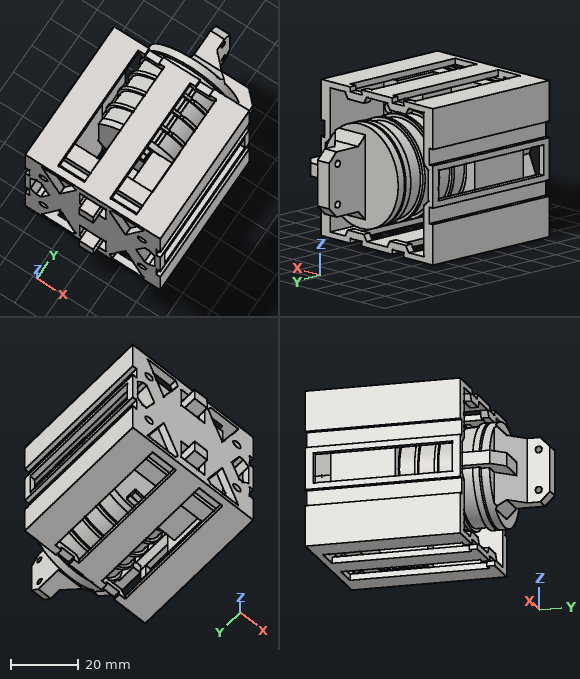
import cadquery as cq
import math

HOUSING_SIZE = 48.0
HALF = HOUSING_SIZE / 2
WALL = 1.9
INNER_HALF = HALF - WALL
CAVITY_HALF_X = 20.0
CHANNEL_HALF_INNER = 6.5
CHANNEL_HALF_OUTER = 4.7
FRONT_SKIN = 2.5
FRONT_DEPTH = 6.5
BACK_SKIN = 2.4
RECESS_HALF_X = 15.2

NOTCH_DEPTH = 1.5
NOTCH_WIDTH = 5.0
NOTCH_CENTRE = 9.0
RIDGE_HEIGHT = 2.0
RIDGE_HALF_TIP = 3.4
RIDGE_HALF_ROOT = 4.65

SLOT_WIDTH = 9.3
SLOT_CENTRE_X = 9.25
SLOT_END = HOUSING_SIZE - BACK_SKIN

SCREW_DIAMETER = 3.0
SCREW_X = 17.5
SCREW_Z = 12.5

TRIANGLE_TIP = (11.66, 7.5)
TRIANGLE_OUTER_X = 18.1
TRIANGLE_INNER_X = 7.0
TRIANGLE_CHAMFER = (1.0, 2.0)
SIDE_WINDOW_SHOULDER_X = 18.45
SIDE_WINDOW_TIP_X = 15.4

PLATE_HALF_X = 15.0
PLATE_HALF_Z = 21.6
PLATE_FRONT = 3.5
PLATE_THICKNESS = 2.0
PRONG_X = 5.0
PRONG_Z = 5.2
PRONG_CENTRE_Z = 15.0
PRONG_REACH = 3.5
PRONG_WINDOW = (9.3, 9.0)

CARRIER_HALF_X = 19.5
CARRIER_HALF_Z = PLATE_HALF_Z
CARRIER_FRONT = FRONT_DEPTH
CARRIER_BACK = 26.5
CARRIER_BAR = 5.1
CARRIER_INNER_LEFT = -14.0
CARRIER_INNER_RIGHT = 13.6
BLOCK_LEFT = 6.0
BLOCK_TOP = 18.2
BLOCK_FRONT = PLATE_FRONT + PLATE_THICKNESS
BLOCK_BACK = 23.4

BARREL_RADIUS = 15.0
RING_RADIUS = 16.0
RING_WIDTH = 1.0
RING_FRONTS = (31.5, 37.6, 43.5)
FOOT_FRONT = 24.4
RIM_FRONT = 49.4
RIM_BACK = 51.4
KEYWAY_WIDTH = 1.1
KEYWAY_DEPTH = 0.5
BARREL_KEYWAY_X = 4.95
RING_KEYWAY_X = 6.6
HOOK_HALF_X = 4.5
HOOK_INNER_RADIUS = 13.0
HOOK_STEM_RADIUS = 14.0
HOOK_NOSE_RADIUS = 14.6
HOOK_NOSE_LENGTH = 1.9
HOOK_LENGTH = 3.8

DISC_RADIUS = RING_RADIUS
DISC_FRONT = 52.0
DISC_BACK = 54.6
GRIP_LEFT = -2.0
GRIP_RIGHT = 3.0
GRIP_END = 69.5
GRIP_HALF_Z = 10.0
GRIP_CHAMFER = 3.0
GUSSET_START = 62.5
GRIP_HOLE_DIAMETER = 2.0
GRIP_HOLE_INSET = 3.5
GRIP_HOLE_Z = 6.25
ARM_WIDTH_Z = 4.1
ARM_OUTER_X = 20.0
ARM_THICKNESS = 2.9
ARM_BACK = 60.0
ARM_CHAMFER = 4.0
ARM_TIP = SLOT_END


def box(x0, x1, y0, y1, z0, z1):
    return cq.Workplane("XY").box(x1 - x0, y1 - y0, z1 - z0, centered=False).translate((x0, y0, z0))


def prism_y(points, y0, y1):
    """Extrude an X-Z outline from y0 to y1."""
    return cq.Workplane("XZ", origin=(0, y0, 0)).polyline(points).close().extrude(y0 - y1)


def cylinder_y(radius, y0, y1):
    return cq.Workplane("XZ", origin=(0, y0, 0)).circle(radius).extrude(y0 - y1)


def four_fold(points):
    """The outline in all four X-Z quadrants."""
    return [[(sx * x, sz * z) for x, z in points] for sx in (-1, 1) for sz in (-1, 1)]


def screw_holes(y1):
    holes = cq.Workplane("XZ").rect(2 * SCREW_X, 2 * SCREW_Z, forConstruction=True).vertices()
    return holes.circle(SCREW_DIAMETER / 2).extrude(-y1)


def make_cavity():
    cavity = box(-CAVITY_HALF_X, CAVITY_HALF_X, FRONT_DEPTH, HOUSING_SIZE, -INNER_HALF, INNER_HALF)
    recess = box(-RECESS_HALF_X, RECESS_HALF_X, FRONT_SKIN, FRONT_DEPTH, -INNER_HALF, INNER_HALF)
    cavity = cavity.union(recess)
    channel = [
        (CAVITY_HALF_X, CHANNEL_HALF_INNER),
        (INNER_HALF, CHANNEL_HALF_OUTER),
        (INNER_HALF, -CHANNEL_HALF_OUTER),
        (CAVITY_HALF_X, -CHANNEL_HALF_INNER),
    ]
    for side in (-1, 1):
        window = channel + [
            (SIDE_WINDOW_SHOULDER_X, -CHANNEL_HALF_INNER),
            (SIDE_WINDOW_TIP_X, 0),
            (SIDE_WINDOW_SHOULDER_X, CHANNEL_HALF_INNER),
        ]
        cavity = cavity.union(prism_y([(side * x, z) for x, z in window], 0, FRONT_DEPTH))
        cavity = cavity.union(prism_y([(side * x, z) for x, z in channel], FRONT_DEPTH, HOUSING_SIZE))
    return cavity


def make_front_openings():
    run, rise = TRIANGLE_CHAMFER
    triangle = [
        TRIANGLE_TIP,
        (TRIANGLE_OUTER_X, INNER_HALF),
        (TRIANGLE_INNER_X, INNER_HALF),
        (TRIANGLE_INNER_X - run, INNER_HALF - rise),
    ]
    openings = screw_holes(FRONT_DEPTH)
    for outline in four_fold(triangle):
        openings = openings.union(prism_y(outline, 0, FRONT_DEPTH))
    half_x = PRONG_WINDOW[0] / 2
    half_z = PRONG_WINDOW[1] / 2
    for z in (-PRONG_CENTRE_Z, PRONG_CENTRE_Z):
        openings = openings.union(box(-half_x, half_x, 0, FRONT_SKIN, z - half_z, z + half_z))
    return openings


def make_slots():
    half = SLOT_WIDTH / 2
    slots = box(-HALF, -CAVITY_HALF_X, FRONT_SKIN, SLOT_END, -half, half)
    slots = slots.union(box(CAVITY_HALF_X, HALF, FRONT_SKIN, SLOT_END, -half, half))
    for x in (-SLOT_CENTRE_X, SLOT_CENTRE_X):
        slots = slots.union(box(x - half, x + half, FRONT_SKIN, SLOT_END, -HALF, HALF))
    return slots


def make_housing():
    housing = box(-HALF, HALF, 0, HOUSING_SIZE, -HALF, HALF).cut(make_cavity())
    ridge = [
        (NOTCH_CENTRE - RIDGE_HALF_ROOT, INNER_HALF),
        (NOTCH_CENTRE - RIDGE_HALF_TIP, INNER_HALF - RIDGE_HEIGHT),
        (NOTCH_CENTRE + RIDGE_HALF_TIP, INNER_HALF - RIDGE_HEIGHT),
        (NOTCH_CENTRE + RIDGE_HALF_ROOT, INNER_HALF),
    ]
    for outline in four_fold(ridge):
        housing = housing.union(prism_y(outline, SLOT_END, HOUSING_SIZE))

    low = NOTCH_CENTRE - NOTCH_WIDTH / 2
    high = NOTCH_CENTRE + NOTCH_WIDTH / 2
    floor = HALF - NOTCH_DEPTH
    side_notch = [(floor, low), (HALF, low), (HALF, high), (floor, high)]
    back_notch = [(z, x) for x, z in side_notch]
    for outline in four_fold(side_notch):
        housing = housing.cut(prism_y(outline, 0, HOUSING_SIZE))
    for outline in four_fold(back_notch):
        housing = housing.cut(prism_y(outline, SLOT_END, HOUSING_SIZE))
    return housing.cut(make_front_openings()).cut(make_slots())


def make_plunger():
    back = PLATE_FRONT + PLATE_THICKNESS
    plunger = box(-PLATE_HALF_X, PLATE_HALF_X, PLATE_FRONT, back, -PLATE_HALF_Z, PLATE_HALF_Z)
    for z in (-PRONG_CENTRE_Z, PRONG_CENTRE_Z):
        prong = box(
            -PRONG_X / 2, PRONG_X / 2, -PRONG_REACH, PLATE_FRONT, z - PRONG_Z / 2, z + PRONG_Z / 2
        )
        plunger = plunger.union(prong)
    return plunger


def make_carrier():
    carrier = box(
        -CARRIER_HALF_X, CARRIER_HALF_X, CARRIER_FRONT, CARRIER_BACK, -CARRIER_HALF_Z, CARRIER_HALF_Z
    )
    bay_front = CARRIER_FRONT + CARRIER_BAR
    bay = box(
        CARRIER_INNER_LEFT, CARRIER_INNER_RIGHT, bay_front, CARRIER_BACK, -CARRIER_HALF_Z, CARRIER_HALF_Z
    )
    block = box(BLOCK_LEFT, CARRIER_INNER_RIGHT, BLOCK_FRONT, BLOCK_BACK, -BLOCK_TOP, BLOCK_TOP)
    seat = cylinder_y(RING_RADIUS, FOOT_FRONT, CARRIER_BACK)
    return carrier.cut(bay).cut(seat).union(block).cut(screw_holes(CARRIER_BACK))


def keyed_disc(radius, y0, y1, keyway_x):
    """A disc with a flat-bottomed axial keyway in its upper side."""
    half = KEYWAY_WIDTH / 2
    floor = math.sqrt(radius**2 - (keyway_x + half) ** 2) - KEYWAY_DEPTH
    keyway = box(keyway_x - half, keyway_x + half, y0, y1, floor, radius)
    return cylinder_y(radius, y0, y1).cut(keyway)


def make_hooks():
    """Snap hooks above and below the axis, each a stem with a raised nose."""
    nose_front = FOOT_FRONT - HOOK_LENGTH
    nose_back = nose_front + HOOK_NOSE_LENGTH
    sleeve = cylinder_y(HOOK_NOSE_RADIUS, nose_front, nose_back)
    sleeve = sleeve.union(cylinder_y(HOOK_STEM_RADIUS, nose_back, FOOT_FRONT))
    sleeve = sleeve.cut(cylinder_y(HOOK_INNER_RADIUS, nose_front, FOOT_FRONT))
    strip = box(
        -HOOK_HALF_X, HOOK_HALF_X, nose_front, FOOT_FRONT, -HOOK_NOSE_RADIUS, HOOK_NOSE_RADIUS
    )
    return sleeve.intersect(strip)


def make_rotor():
    rotor = keyed_disc(BARREL_RADIUS, CARRIER_BACK, RIM_FRONT, BARREL_KEYWAY_X)
    for front in RING_FRONTS:
        rotor = rotor.union(keyed_disc(RING_RADIUS, front, front + RING_WIDTH, RING_KEYWAY_X))
    rotor = rotor.union(cylinder_y(RING_RADIUS, FOOT_FRONT, CARRIER_BACK))
    rotor = rotor.union(cylinder_y(RING_RADIUS, RIM_FRONT, RIM_BACK))
    return rotor.union(make_hooks())


def make_grip():
    gusset_end = GRIP_RIGHT + GUSSET_START - DISC_BACK
    plan = [
        (GRIP_LEFT, DISC_BACK),
        (GRIP_LEFT, GRIP_END),
        (GRIP_RIGHT, GRIP_END),
        (GRIP_RIGHT, GUSSET_START),
        (gusset_end, DISC_BACK),
    ]
    half_base = GRIP_HALF_Z + GRIP_CHAMFER
    side = [
        (DISC_BACK, half_base),
        (DISC_BACK + GRIP_CHAMFER, GRIP_HALF_Z),
        (GRIP_END - GRIP_CHAMFER, GRIP_HALF_Z),
        (GRIP_END, GRIP_HALF_Z - GRIP_CHAMFER),
    ]
    side += [(y, -z) for y, z in reversed(side)]
    grip = cq.Workplane("XY", origin=(0, 0, -half_base)).polyline(plan).close().extrude(2 * half_base)
    profile = cq.Workplane("YZ", origin=(GRIP_LEFT, 0, 0)).polyline(side).close()
    grip = grip.intersect(profile.extrude(gusset_end - GRIP_LEFT))
    hole_y = GRIP_END - GRIP_HOLE_INSET
    holes = (
        cq.Workplane("YZ", origin=(GRIP_LEFT, 0, 0))
        .pushPoints([(hole_y, -GRIP_HOLE_Z), (hole_y, GRIP_HOLE_Z)])
        .circle(GRIP_HOLE_DIAMETER / 2)
        .extrude(GRIP_RIGHT - GRIP_LEFT)
    )
    within_disc = cylinder_y(DISC_RADIUS, DISC_BACK, GRIP_END)
    return grip.cut(holes).intersect(within_disc)


def make_arm():
    arm_inner_x = ARM_OUTER_X - ARM_THICKNESS
    plan = [
        (GRIP_LEFT, DISC_FRONT),
        (arm_inner_x, DISC_FRONT),
        (arm_inner_x, ARM_TIP),
        (ARM_OUTER_X, ARM_TIP),
        (ARM_OUTER_X, ARM_BACK - ARM_CHAMFER),
        (ARM_OUTER_X - ARM_CHAMFER, ARM_BACK),
        (GRIP_LEFT, ARM_BACK),
    ]
    arm = cq.Workplane("XY", origin=(0, 0, -ARM_WIDTH_Z / 2))
    return arm.polyline(plan).close().extrude(ARM_WIDTH_Z)


def make_knob():
    return cylinder_y(DISC_RADIUS, DISC_FRONT, DISC_BACK).union(make_grip()).union(make_arm())


housing = make_housing()
plunger = make_plunger()
carrier = make_carrier()
rotor = make_rotor()
knob = make_knob()

result = cq.Compound.makeCompound(
    [housing.val(), plunger.val(), carrier.val(), rotor.val(), knob.val()]
)